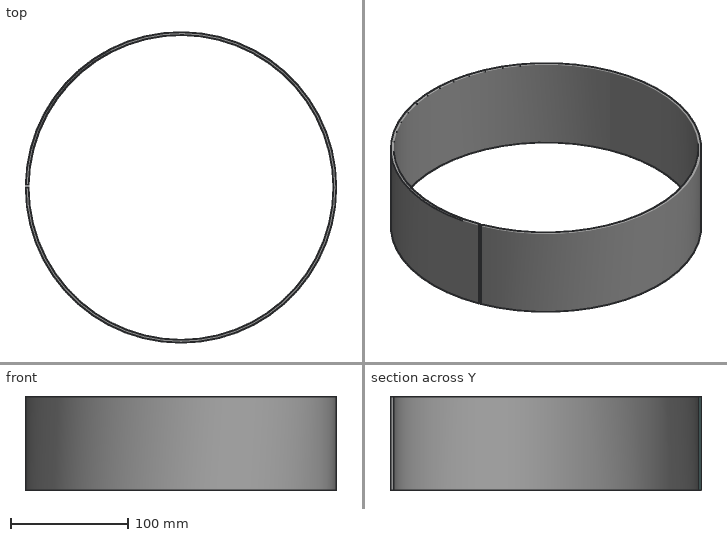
import cadquery as cq

outer_diameter = 265.0
wall = 2.6
height = 80.0
seam_gap = 2.0
rim_round = 0.4

outer_radius = outer_diameter / 2

ring = (
    cq.Workplane("XY")
    .workplane(offset=-height / 2)
    .circle(outer_radius)
    .circle(outer_radius - wall)
    .extrude(height)
)

ring = ring.faces("|Z").edges().fillet(rim_round)

slit_depth = 4 * wall
slit_center = (-outer_radius, seam_gap / 2, 0)
slit = cq.Workplane("XY").box(slit_depth, seam_gap, height).translate(slit_center)

result = ring.cut(slit)